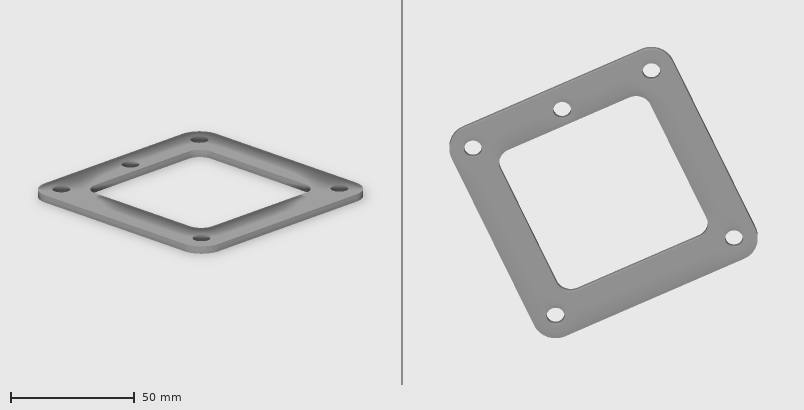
import cadquery as cq

plate_side = 98.4
plate_thickness = 3.15
corner_radius = 9.5
window_side = 66.6
window_corner_radius = 6.4
hole_diameter = 7.2

hole_offset = plate_side / 2 - corner_radius


def rounded_square(side, radius):
    """Square slab of the plate's thickness with rounded vertical edges."""
    return cq.Workplane("XY").box(side, side, plate_thickness).edges("|Z").fillet(radius)


plate = rounded_square(plate_side, corner_radius)
window = rounded_square(window_side, window_corner_radius)

hole_centers = [(x, y) for x in (-hole_offset, hole_offset) for y in (-hole_offset, hole_offset)]
hole_centers.append((-hole_offset, 0))

result = (
    plate.cut(window)
    .faces(">Z")
    .workplane(origin=(0, 0, 0))
    .pushPoints(hole_centers)
    .hole(hole_diameter)
)